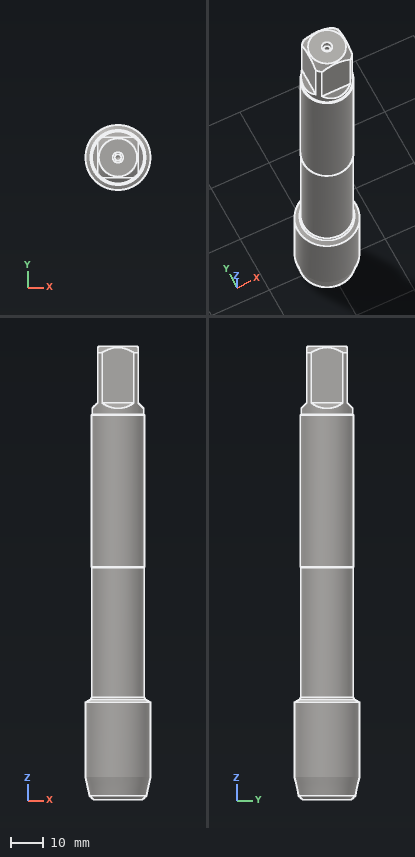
import cadquery as cq

total_length = 140.0

head_diameter = 20.2
head_top = 30.1
lead_height = 7.0
tip_diameter = 17.6
tip_chamfer = 1.3
end_diameter = tip_diameter - 2 * tip_chamfer
shoulder_height = 0.8
shoulder_top = head_top + shoulder_height
joint_diameter = 17.1

neck_diameter = 16.2
neck_cone_height = 0.7
shank_diameter = 16.5
shank_start = 71.7
shank_end = 119.0
edge_chamfer = 0.3
collar_diameter = 16.0

square_width = 12.6
square_height = 17.5
square_base = total_length - square_height
crown_diameter = 11.8
crown_height = 2.0

hole_diameter = 2.0
hole_depth = 3.9
countersink_diameter = 3.2
countersink_depth = 1.3
drill_point_height = 0.5


def revolve_profile(points):
    """Turn a list of (radius, height) points about the Z axis."""
    return cq.Workplane("XZ").polyline(points).close().revolve(360, (0, 0), (0, 1))


def make_head():
    """Cutting head: tapered lead, cylinder and shoulder cone."""
    return revolve_profile([
        (0, 0),
        (end_diameter / 2, 0),
        (tip_diameter / 2, tip_chamfer),
        (head_diameter / 2, lead_height),
        (head_diameter / 2, head_top),
        (joint_diameter / 2, shoulder_top),
        (0, shoulder_top),
    ])


def make_turned_shank():
    """Neck, shank and slightly tapered collar, with a chamfered crown on top."""
    return revolve_profile([
        (0, shoulder_top),
        (joint_diameter / 2, shoulder_top),
        (neck_diameter / 2, shoulder_top + neck_cone_height),
        (neck_diameter / 2, shank_start),
        (shank_diameter / 2, shank_start + edge_chamfer),
        (shank_diameter / 2, shank_end - edge_chamfer),
        (shank_diameter / 2 - edge_chamfer, shank_end),
        (collar_diameter / 2, total_length - crown_height),
        (crown_diameter / 2, total_length),
        (0, total_length),
    ])


def make_square_envelope():
    """Square driver that flares at 45 degrees below its base, forming the run-outs of the flats."""
    flare_height = (collar_diameter - square_width) / 2
    square = (
        cq.Workplane("XY", origin=(0, 0, square_base))
        .rect(square_width, square_width)
        .extrude(square_height)
    )
    flare = (
        cq.Workplane("XY", origin=(0, 0, square_base - flare_height))
        .rect(collar_diameter, collar_diameter)
        .workplane(offset=flare_height)
        .rect(square_width, square_width)
        .loft(ruled=True)
    )
    lower_height = square_base - flare_height
    lower_part = (
        cq.Workplane("XY")
        .rect(head_diameter, head_diameter)
        .extrude(lower_height)
    )
    return lower_part.union(flare).union(square)


def make_center_hole():
    """Cutter for the countersunk blind hole in the top face."""
    hole_bottom = total_length - hole_depth
    return revolve_profile([
        (0, total_length),
        (countersink_diameter / 2, total_length),
        (hole_diameter / 2, total_length - countersink_depth),
        (hole_diameter / 2, hole_bottom),
        (0, hole_bottom - drill_point_height),
    ])


def make_shank():
    """Complete shank with its driving square and centre hole."""
    return make_turned_shank().intersect(make_square_envelope()).cut(make_center_hole())


head = make_head()
shank = make_shank()
result = cq.Compound.makeCompound([head.val(), *shank.solids().vals()])